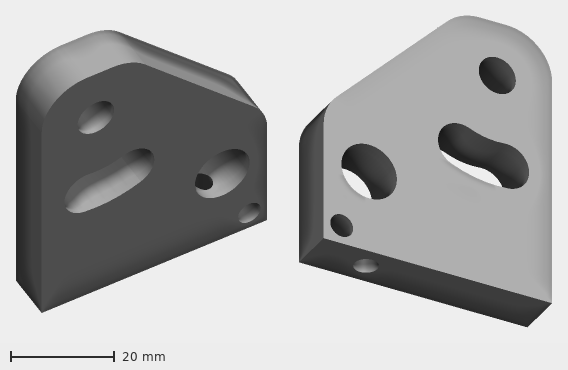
import cadquery as cq
import math

thickness = 10.0
width = 50.0
height = 60.0
corner_radius = 10.0
slope_top_y = 20.0
slope_foot_z = height - (width - slope_top_y)

pivot_y, pivot_z = 12.0, 48.0
pivot_hole = (pivot_y, pivot_z, 8.1)
large_hole = (40.0, 18.0, 12.1)
small_hole = (46.0, 4.0, 5.0)

bottom_hole_y = 38.0
bottom_hole_diameter = 5.0

slot_radius = 20.0
slot_half_width = 5.0
slot_end_ys = (10.0, 20.0)


def make_plate():
    outline = [
        (0, 0),
        (width, 0),
        (width, slope_foot_z),
        (slope_top_y, height),
        (0, height),
    ]
    plate = cq.Workplane("YZ").polyline(outline).close().extrude(thickness)
    lower_corners = cq.selectors.BoxSelector((-0.6, -0.6, -0.6), (thickness + 0.6, width + 0.6, 0.6))
    return plate.edges(cq.selectors.SubtractSelector(
        cq.selectors.ParallelDirSelector(cq.Vector(1, 0, 0)), lower_corners
    )).fillet(corner_radius)


def make_hole(y, z, diameter):
    return cq.Workplane("YZ").center(y, z).circle(diameter / 2).extrude(thickness)


def make_bottom_hole():
    depth = large_hole[1]
    return (
        cq.Workplane("XY")
        .center(thickness / 2, bottom_hole_y)
        .circle(bottom_hole_diameter / 2)
        .extrude(depth)
    )


def pivot_point(radius, angle):
    return (pivot_y + radius * math.cos(angle), pivot_z + radius * math.sin(angle))


def make_slot():
    start, end = (-math.acos((y - pivot_y) / slot_radius) for y in slot_end_ys)
    middle = (start + end) / 2
    inner = slot_radius - slot_half_width
    outer = slot_radius + slot_half_width

    def cap_tip(angle, direction):
        y, z = pivot_point(slot_radius, angle)
        return (
            y - direction * slot_half_width * math.sin(angle),
            z + direction * slot_half_width * math.cos(angle),
        )

    return (
        cq.Workplane("YZ")
        .moveTo(*pivot_point(outer, start))
        .threePointArc(pivot_point(outer, middle), pivot_point(outer, end))
        .threePointArc(cap_tip(end, 1), pivot_point(inner, end))
        .threePointArc(pivot_point(inner, middle), pivot_point(inner, start))
        .threePointArc(cap_tip(start, -1), pivot_point(outer, start))
        .close()
        .extrude(thickness)
    )


result = make_plate()
for hole in (pivot_hole, large_hole, small_hole):
    result = result.cut(make_hole(*hole))
result = result.cut(make_slot())
result = result.cut(make_bottom_hole())